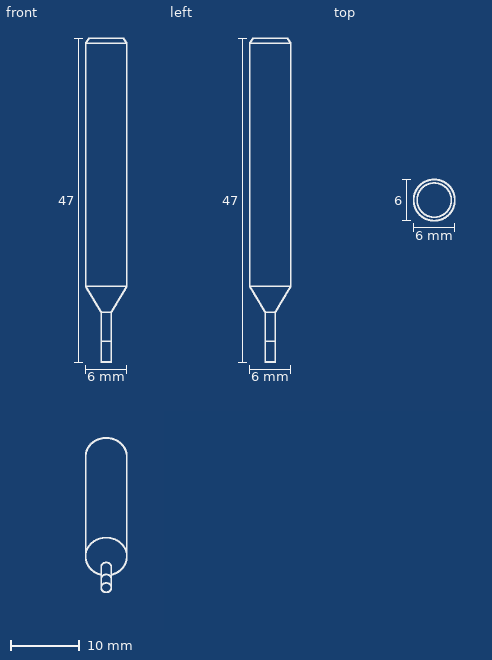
import cadquery as cq

total_length = 47.0
shank_diameter = 6.0
neck_diameter = 1.5

tip_length = 3.0
neck_top = 7.25
cone_top = 11.0

bevel_width = 0.5
bevel_height = 0.75

shank_radius = shank_diameter / 2
neck_radius = neck_diameter / 2


def make_holder():
    """Bevelled shank, taper and neck, revolved as one solid."""
    profile = (
        cq.Workplane("XZ")
        .moveTo(0, tip_length)
        .lineTo(neck_radius, tip_length)
        .lineTo(neck_radius, neck_top)
        .lineTo(shank_radius, cone_top)
        .lineTo(shank_radius, total_length - bevel_height)
        .lineTo(shank_radius - bevel_width, total_length)
        .lineTo(0, total_length)
        .close()
    )
    return profile.revolve(360, (0, 0, 0), (0, 1, 0))


def make_tip():
    """Cylindrical cutting tip that butts against the lower end of the neck."""
    return cq.Workplane("XY").circle(neck_radius).extrude(tip_length)


holder = make_holder()
tip = make_tip()

result = cq.Compound.makeCompound([holder.val(), tip.val()])